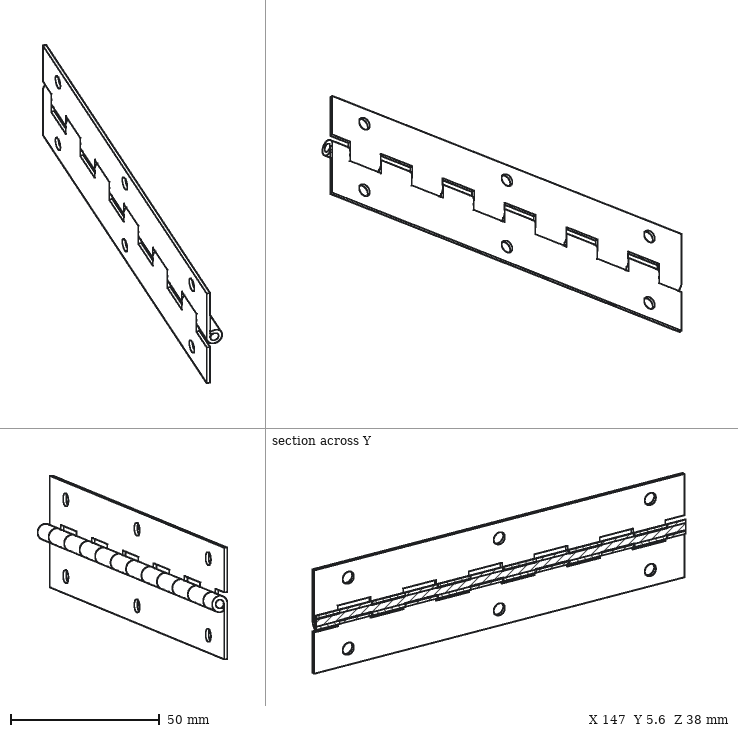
import cadquery as cq
import math

length = 147.0
height = 38.0
thickness = 1.2
knuckle_diameter = 5.6
pin_diameter = 3.0

first_knuckle = 7.5
last_knuckle = 9.4
inner_knuckle_count = 10
knuckle_gap = 0.1
notch_depth = 3.8

hole_diameter = 4.4
hole_spacing = 60.0
hole_height = 13.1

knuckle_radius = knuckle_diameter / 2
pin_radius = pin_diameter / 2
leaf_front = -knuckle_radius
leaf_back = leaf_front + thickness
left_end = -length / 2
right_end = length / 2
pitch = (length - first_knuckle - last_knuckle) / inner_knuckle_count
joints = [left_end + first_knuckle + i * pitch for i in range(inner_knuckle_count + 1)]


def knuckle_spans():
    """X range of every knuckle from left to right, with half of the gap taken off at each joint."""
    half_gap = knuckle_gap / 2
    starts = [left_end] + [x + half_gap for x in joints]
    ends = [x - half_gap for x in joints] + [right_end]
    return list(zip(starts, ends))


def box(x_range, y_range, z_range):
    """Box between the given limits."""
    sizes = [high - low for low, high in (x_range, y_range, z_range)]
    corner = (x_range[0], y_range[0], z_range[0])
    return cq.Workplane("XY").box(*sizes, centered=False).translate(corner)


def knuckle(x_start, x_end):
    """Tab that rises to the pin axis and curls over the pin, then flattens below it and stops behind the leaf."""
    curl_end = -pin_radius
    outer_end_height = -math.sqrt(knuckle_radius**2 - curl_end**2)
    profile = (
        cq.Workplane("YZ", origin=(x_start, 0, 0))
        .moveTo(leaf_back, -notch_depth)
        .lineTo(leaf_front, -notch_depth)
        .lineTo(leaf_front, 0)
        .threePointArc((0, knuckle_radius), (curl_end, outer_end_height))
        .lineTo(curl_end, -pin_radius)
        .lineTo(0, -pin_radius)
        .threePointArc((pin_radius, 0), (0, pin_radius))
        .radiusArc((-pin_radius, 0), -pin_radius)
        .lineTo(leaf_back, 0)
        .close()
    )
    return profile.extrude(x_end - x_start)


def screw_holes():
    """Cutters for the row of three screw holes in the lower leaf."""
    centres = [(i * hole_spacing, -hole_height) for i in (-1, 0, 1)]
    front = cq.Workplane("XZ", origin=(0, leaf_front, 0))
    return front.pushPoints(centres).circle(hole_diameter / 2).extrude(-thickness)


def lower_leaf(spans):
    """Leaf below the pin axis that carries a knuckle on each of the spans."""
    leaf = box((left_end, right_end), (leaf_front, leaf_back), (-height / 2, -notch_depth))
    for x_start, x_end in spans:
        leaf = leaf.union(knuckle(x_start, x_end))
    return leaf.cut(screw_holes())


def upper_leaf(spans):
    """Same leaf form, turned over to stand above the pin axis."""
    return lower_leaf(spans).mirror("XY")


def hinge_pin():
    """Plain pin along the full length of the knuckle row."""
    return cq.Workplane("YZ", origin=(left_end, 0, 0)).circle(pin_radius).extrude(length)


spans = knuckle_spans()
leaf_below = lower_leaf(spans[0::2])
leaf_above = upper_leaf(spans[1::2])
pin = hinge_pin()

result = cq.Compound.makeCompound([leaf_below.solids().val(), leaf_above.solids().val(), pin.val()])